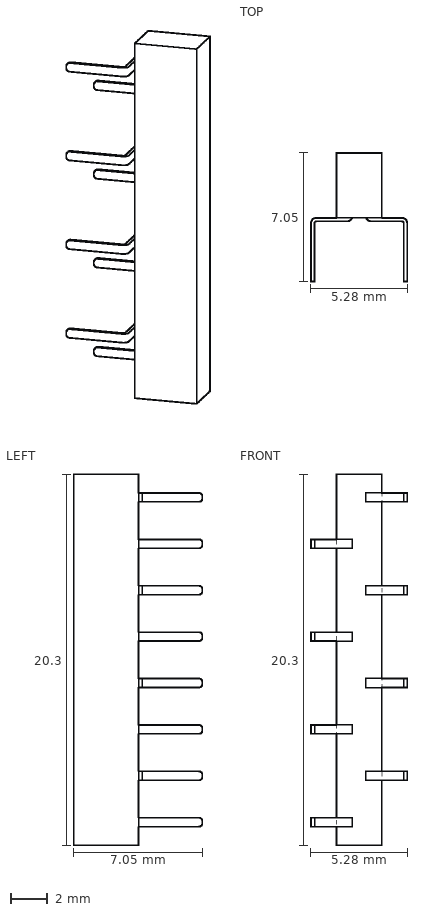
import cadquery as cq
import math

body_width = 2.5
body_depth = 3.55
body_height = 20.32

pin_count = 8
pin_pitch = 2.54
pin_thickness = 0.2
pin_width = 0.5
pin_length = 3.5
pin_span = 5.28
pin_outer_x = pin_span / 2
pin_root_x = 0.36
bend_inner_radius = 0.1
bend_outer_radius = bend_inner_radius + pin_thickness
tip_radius = 0.2


def make_body():
    return cq.Workplane("XY").box(body_width, body_depth, body_height, centered=(True, False, True))


def make_pin():
    """Pin on the +X side, centred on Z = 0, with its arm lying against the housing face."""
    cos45 = math.cos(math.pi / 4)
    inner_x = pin_outer_x - pin_thickness
    bend_center_x = pin_outer_x - bend_outer_radius
    outer_arc_mid = (bend_center_x + bend_outer_radius * cos45, -bend_outer_radius * (1 - cos45))
    inner_arc_mid = (bend_center_x + bend_inner_radius * cos45, -bend_outer_radius + bend_inner_radius * cos45)

    root_center_x = pin_root_x + bend_outer_radius
    root_cut_x = root_center_x - math.sqrt(bend_outer_radius**2 - bend_inner_radius**2)
    root_angle = math.atan2(bend_inner_radius, root_center_x - root_cut_x)
    root_mid_angle = (root_angle + math.pi / 2) / 2
    root_arc_mid = (
        root_center_x - bend_outer_radius * math.cos(root_mid_angle),
        bend_inner_radius - bend_outer_radius * math.sin(root_mid_angle),
    )

    strip = (
        cq.Workplane("XY")
        .moveTo(root_cut_x, 0)
        .lineTo(bend_center_x, 0)
        .threePointArc(outer_arc_mid, (pin_outer_x, -bend_outer_radius))
        .lineTo(pin_outer_x, -pin_length)
        .lineTo(inner_x, -pin_length)
        .lineTo(inner_x, -bend_outer_radius)
        .threePointArc(inner_arc_mid, (bend_center_x, -pin_thickness))
        .lineTo(root_center_x, -pin_thickness)
        .threePointArc(root_arc_mid, (root_cut_x, 0))
        .close()
        .extrude(pin_width / 2, both=True)
    )
    return strip.faces("<Y").edges("|X").fillet(tip_radius)


right_pin = make_pin()
left_pin = right_pin.mirror("YZ")
lowest_pin_z = -pin_pitch * (pin_count - 1) / 2

result = make_body()
for index in range(pin_count):
    pin = left_pin if index % 2 == 0 else right_pin
    result = result.union(pin.translate((0, 0, lowest_pin_z + index * pin_pitch)))